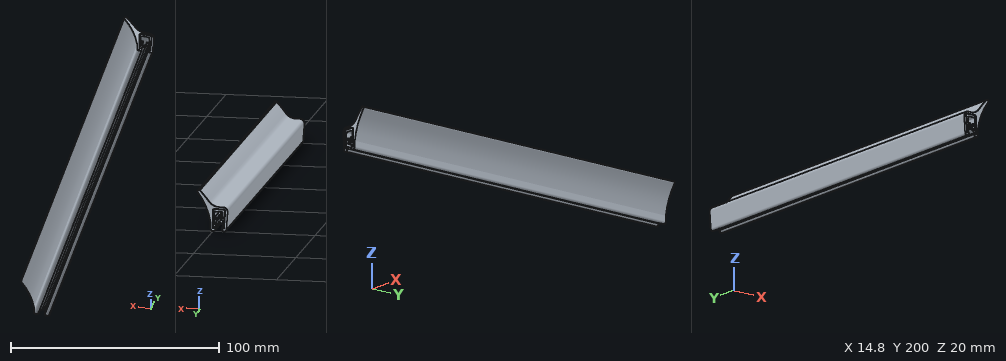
import cadquery as cq
import math

length = 200.0
total_width = 14.8
total_height = 20.0

roof_z = 12.0
corner_radius = 2.5
foot_radius = 1.2
left_foot_x = 1.8
right_foot_x = 7.2
cavity_left = 2.5
cavity_right = 6.5
cavity_top = 9.5
cavity_corner = 0.5

tip_radius = 0.8
lip_start_x = 4.2
lip_bend_x = 9.0
lip_bend_z = 14.5
lip_root_z = 4.0
tip_x = total_width - tip_radius
tip_z = total_height - tip_radius
tip_upper_angle = 120
tip_lower_angle = -30
lip_lower_sag = 1.0

fin_overlap = 0.2
short_fin_reach = 1.2
short_fin_top = 6.5
short_fin_bottom = 5.5
short_fin_tip_height = 0.5
long_fin_root_top = 3.5
long_fin_root_bottom = 1.8
long_fin_tip_top = (4.0, 4.8)
long_fin_tip_bottom = (3.2, 3.5)
long_fin_heel = (4.2, 3.5)
long_fin_shoulder = (4.8, 4.0)

strip_thickness = 0.25
strip_top = 11.0
strip_bottom = 1.5
strip_top_left = 1.0
strip_bottom_left = 1.8
strip_right = 7.5
strip_corner = 1.2


def tip_point(angle):
    """Point on the round tip of the lip, at an angle in degrees from +X."""
    turn = math.radians(angle)
    return (tip_x + tip_radius * math.cos(turn), tip_z + tip_radius * math.sin(turn))


def arc_middle(start, end, sag):
    """Middle of an arc that bulges by sag to the right of the line from start to end."""
    dx = end[0] - start[0]
    dz = end[1] - start[1]
    chord = math.hypot(dx, dz)
    return ((start[0] + end[0]) / 2 + sag * dz / chord, (start[1] + end[1]) / 2 - sag * dx / chord)


def extrude_section(section):
    """Extrude a closed XZ outline along +Y."""
    return section.close().extrude(-length)


def extrude_polygon(points):
    return extrude_section(cq.Workplane("XZ").polyline(points))


def make_channel_and_lip():
    """Inverted U with rounded feet, and the curved lip rising from its right leg."""
    left_side = left_foot_x - foot_radius
    left_inside = left_foot_x + foot_radius
    right_inside = right_foot_x - foot_radius
    right_side = right_foot_x + foot_radius
    foot_taper_z = 2 * foot_radius
    corner_z = roof_z - corner_radius
    corner_offset = corner_radius * math.sqrt(0.5)
    lip_bend = (lip_bend_x, lip_bend_z)
    lip_root = (right_side, lip_root_z)
    upper_tip = tip_point(tip_upper_angle)
    lower_tip = tip_point(tip_lower_angle)

    section = (
        cq.Workplane("XZ")
        .moveTo(left_side, foot_radius)
        .lineTo(0, corner_z)
        .threePointArc((corner_radius - corner_offset, corner_z + corner_offset), (corner_radius, roof_z))
        .lineTo(lip_start_x, roof_z)
        .tangentArcPoint(lip_bend, relative=False)
        .tangentArcPoint(upper_tip, relative=False)
        .threePointArc(tip_point((tip_upper_angle + tip_lower_angle) / 2), lower_tip)
        .threePointArc(arc_middle(lower_tip, lip_root, lip_lower_sag), lip_root)
        .lineTo(right_side, foot_radius)
        .threePointArc((right_foot_x, 0), (right_inside, foot_radius))
        .lineTo(cavity_right, foot_taper_z)
        .lineTo(cavity_right, cavity_top - cavity_corner)
        .radiusArc((cavity_right - cavity_corner, cavity_top), -cavity_corner)
        .lineTo(cavity_left + cavity_corner, cavity_top)
        .radiusArc((cavity_left, cavity_top - cavity_corner), -cavity_corner)
        .lineTo(cavity_left, foot_taper_z)
        .lineTo(left_inside, foot_radius)
        .threePointArc((left_foot_x, 0), (left_side, foot_radius))
    )
    return extrude_section(section)


def make_short_fin(wall_x, direction):
    """Tapered fin on one cavity wall; direction is the sign of X towards the cavity."""
    tip = wall_x + direction * short_fin_reach
    tip_middle_z = (short_fin_top + short_fin_bottom) / 2
    root = wall_x - direction * fin_overlap
    return extrude_polygon([
        (root, short_fin_bottom),
        (wall_x, short_fin_bottom),
        (tip, tip_middle_z - short_fin_tip_height / 2),
        (tip, tip_middle_z + short_fin_tip_height / 2),
        (wall_x, short_fin_top),
        (root, short_fin_top),
    ])


def make_long_fin():
    """Fin that slopes up from the right leg across the mouth, with a blunt head."""
    root = cavity_right + fin_overlap
    return extrude_polygon([
        (root, long_fin_root_bottom),
        (cavity_right, long_fin_root_bottom),
        long_fin_heel,
        long_fin_tip_bottom,
        long_fin_tip_top,
        long_fin_shoulder,
        (cavity_right, long_fin_root_top),
        (root, long_fin_root_top),
    ])


def make_strip_block(inset, radius):
    """Solid under the strip's outer face, moved inwards by inset, with round top corners."""
    block = extrude_polygon([
        (strip_bottom_left + inset, strip_bottom),
        (strip_top_left + inset, strip_top - inset),
        (strip_right - inset, strip_top - inset),
        (strip_right - inset, strip_bottom),
    ])
    return block.faces(">Z").edges("|Y").fillet(radius)


def make_strip():
    core = make_strip_block(strip_thickness, strip_corner - strip_thickness)
    return make_strip_block(0, strip_corner).cut(core)


strip = make_strip()

rubber = make_channel_and_lip()
for wall_x, direction in ((cavity_left, 1), (cavity_right, -1)):
    rubber = rubber.union(make_short_fin(wall_x, direction))
rubber = rubber.union(make_long_fin()).cut(strip)

result = cq.Compound.makeCompound([rubber.val(), strip.val()])